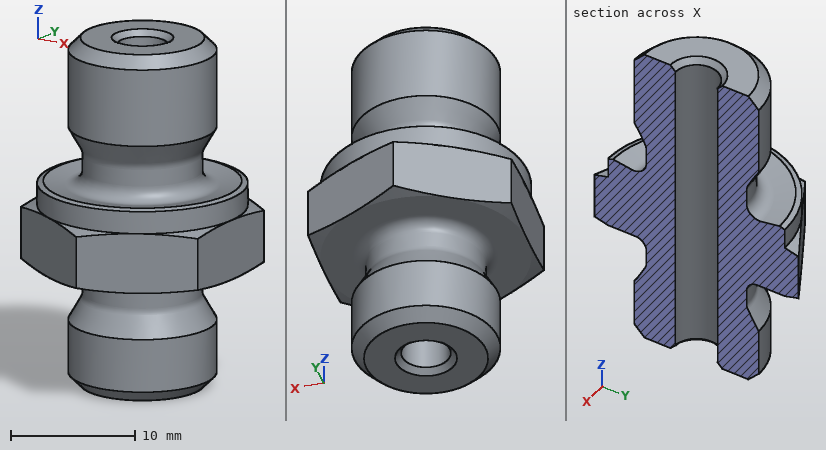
import cadquery as cq
import math

total_height = 29.0
hex_bottom = 10.0
hex_top = 15.0
collar_top = 17.0

across_flats = 17.0
across_corners = across_flats / math.cos(math.radians(30))
hex_chamfer_angle = math.radians(15)

collar_radius = across_flats / 2
seal_edge_radius = collar_radius - 0.5
seal_edge_drop = 0.15
dish_angle = math.radians(9)

thread_radius = 12.0 / 2
end_chamfer = 1.0

relief_radius = 9.7 / 2
relief_length = 4.6
relief_cone_angle = math.radians(30)
upper_relief_fillet = 1.2
lower_relief_fillet = 1.0

bore_radius = 4.0 / 2
mouth_chamfer = 0.5


def add_stub(profile, face_radius, face_angle, fillet, stub_length):
    """Continue a half profile with a relief groove and a chamfered stub.

    Heights run from 0 at the body face to stub_length at the stub end.
    The profile must stand at (face_radius, 0). From there the body face
    sinks toward the axis at face_angle, where 0 is flat.
    The groove has a tangent fillet of the same radius at both ends.
    """
    fillet_center_radius = relief_radius + fillet

    face_end_radius = fillet_center_radius + fillet * math.sin(face_angle)
    face_end_height = (face_end_radius - face_radius) * math.tan(face_angle)
    body_fillet_height = face_end_height + fillet * math.cos(face_angle)
    half_turn = (math.pi / 2 + face_angle) / 2

    cone_height = (thread_radius - relief_radius) / math.tan(relief_cone_angle)
    cone_corner_height = relief_length - cone_height
    cone_fillet_height = cone_corner_height - fillet * math.tan(relief_cone_angle / 2)

    def fillet_point(center_height, turn):
        """Point on a groove fillet, turned from the groove floor toward the stub."""
        return (
            fillet_center_radius - fillet * math.cos(turn),
            center_height + fillet * math.sin(turn),
        )

    return (
        profile
        .lineTo(face_end_radius, face_end_height)
        .threePointArc(
            fillet_point(body_fillet_height, -half_turn),
            fillet_point(body_fillet_height, 0),
        )
        .lineTo(*fillet_point(cone_fillet_height, 0))
        .threePointArc(
            fillet_point(cone_fillet_height, relief_cone_angle / 2),
            fillet_point(cone_fillet_height, relief_cone_angle),
        )
        .lineTo(thread_radius, relief_length)
        .lineTo(thread_radius, stub_length - end_chamfer)
        .lineTo(thread_radius - end_chamfer, stub_length)
        .lineTo(0, stub_length)
    )


def revolve_profile(profile):
    return profile.close().revolve(360, (0, 0), (0, 1))


def make_collar_and_upper_stub():
    collar_height = collar_top - hex_top
    profile = (
        cq.Workplane("XZ")
        .moveTo(0, -collar_height)
        .lineTo(collar_radius, -collar_height)
        .lineTo(collar_radius, -seal_edge_drop)
        .lineTo(seal_edge_radius, 0)
    )
    stub_length = total_height - collar_top
    profile = add_stub(profile, seal_edge_radius, dish_angle, upper_relief_fillet, stub_length)
    return revolve_profile(profile).translate((0, 0, collar_top))


def make_lower_stub():
    profile = cq.Workplane("XZ").lineTo(collar_radius, 0)
    profile = add_stub(profile, collar_radius, 0, lower_relief_fillet, hex_bottom)
    stub = revolve_profile(profile).rotate((0, 0, 0), (1, 0, 0), 180)
    return stub.translate((0, 0, hex_bottom))


def make_hexagon():
    prism = (
        cq.Workplane("XY", origin=(0, 0, hex_bottom))
        .polygon(6, across_corners)
        .extrude(hex_top - hex_bottom)
        .rotate((0, 0, 0), (0, 0, 1), 30)
    )
    rim_radius = across_corners / 2
    trim_radius = across_flats / 2
    trim_height = (rim_radius - trim_radius) * math.tan(hex_chamfer_angle)
    envelope = revolve_profile(
        cq.Workplane("XZ")
        .moveTo(0, hex_bottom)
        .lineTo(trim_radius, hex_bottom)
        .lineTo(rim_radius, hex_bottom + trim_height)
        .lineTo(rim_radius, hex_top - trim_height)
        .lineTo(trim_radius, hex_top)
        .lineTo(0, hex_top)
    )
    return prism.intersect(envelope)


def make_bore():
    """Through bore with a 45 degree chamfer at each mouth."""
    mouth_radius = bore_radius + mouth_chamfer
    return revolve_profile(
        cq.Workplane("XZ")
        .lineTo(mouth_radius, 0)
        .lineTo(bore_radius, mouth_chamfer)
        .lineTo(bore_radius, total_height - mouth_chamfer)
        .lineTo(mouth_radius, total_height)
        .lineTo(0, total_height)
    )


def make_part():
    body = make_hexagon().union(make_collar_and_upper_stub())
    body = body.union(make_lower_stub())
    return body.cut(make_bore())


result = make_part()